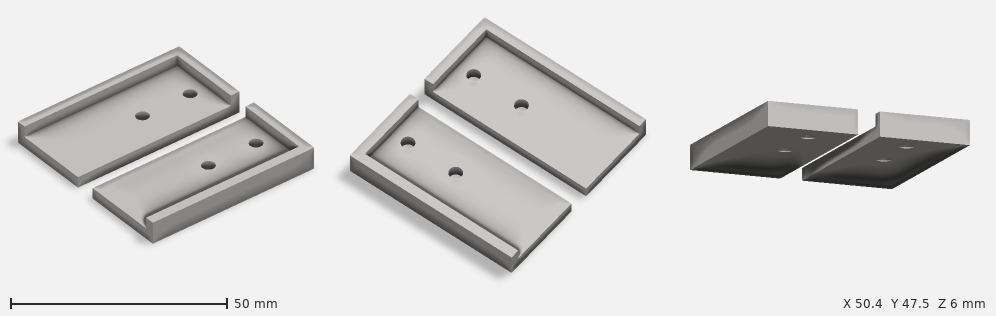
import cadquery as cq

total_width = 50.4
length = 47.5
height = 6.0

tray_width = 22.5
wall = 2.5
floor_thickness = height / 2

hole_diameter = 3.45
hole_from_inner_edge = 9.6
hole_from_back = 6.95
hole_spacing = 14.0
holes_per_tray = 2

outer_x = total_width / 2
inner_x = outer_x - tray_width
back_y = length / 2


def corner_tray(side):
    """Tray walled along its outer side and back; side is -1 for left and +1 for right."""
    block = cq.Workplane("XY").box(tray_width, length, height, centered=(True, True, False))
    block = block.translate((side * (inner_x + tray_width / 2), 0, 0))

    recess_width = tray_width - wall
    recess_length = length - wall
    recess = (
        cq.Workplane("XY", origin=(0, 0, floor_thickness))
        .center(side * (inner_x + recess_width / 2), -wall / 2)
        .rect(recess_width, recess_length)
        .extrude(height - floor_thickness)
    )

    hole_x = side * (inner_x + hole_from_inner_edge)
    hole_points = [
        (hole_x, back_y - hole_from_back - row * hole_spacing) for row in range(holes_per_tray)
    ]
    holes = cq.Workplane("XY").pushPoints(hole_points).circle(hole_diameter / 2).extrude(height)

    return block.cut(recess).cut(holes)


trays = [corner_tray(side) for side in (-1, 1)]

result = cq.Compound.makeCompound([tray.val().Solids()[0] for tray in trays])